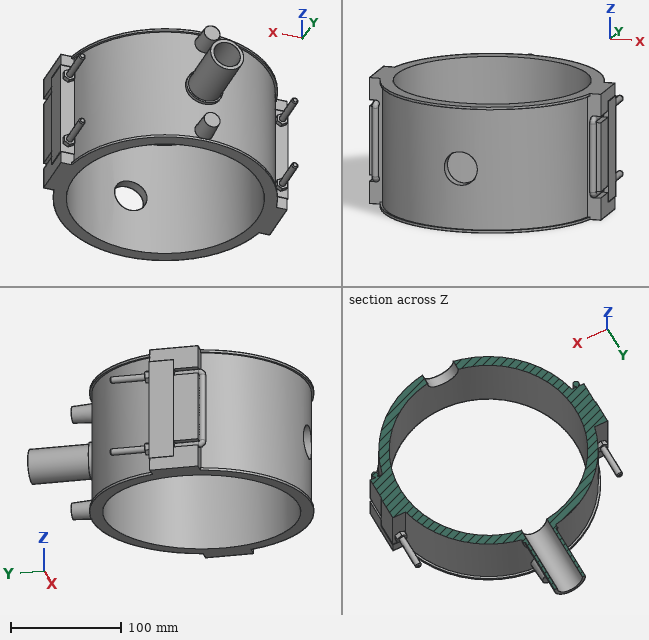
import cadquery as cq
import math

total_height = 118.0
half_height = total_height / 2

bore_radius = 90.0
body_radius = 100.0
lip_radius = 102.0
lip_height = 2.3
inlet_hole_diameter = 31.3

lug_reach = 110.0
lug_depth = 22.5
plate_thickness = 0.65
plate_height = 94.5

rod_diameter = 6.0
rod_radius = rod_diameter / 2
rod_tip_diameter = 4.0
rod_tip_y = 60.5
bolt_x = 103.4
leg_z = 35.2
bend_radius = 3.1
bridge_bedding = 0.05
nut_sides = 6
nut_flats = 10.0
nut_thickness = 4.5

spigot_diameter = 32.0
spigot_bore = 25.5
spigot_tip_y = 159.0
collar_diameter = 35.2
collar_face_radius = 103.4

peg_tip_diameter = 15.5
peg_base_diameter = 18.3
peg_tip_y = 120.3
peg_z = 47.2


def cylinder_along_y(diameter, x, z, y_start, y_end):
    axis_start = cq.Vector(x, y_start, z)
    return cq.Workplane(cq.Solid.makeCylinder(
        diameter / 2, y_end - y_start, axis_start, cq.Vector(0, 1, 0)))


def upright_cylinder(radius, height):
    return cq.Workplane("XY").circle(radius).extrude(height / 2, both=True)


def box_between(x_range, y_range, z_range):
    sizes = [high - low for low, high in (x_range, y_range, z_range)]
    corner = (x_range[0], y_range[0], z_range[0])
    return cq.Workplane("XY").box(*sizes, centered=False).translate(corner)


def make_ring():
    """Ring with a thin lip at each end, bore not yet cut."""
    ring = upright_cylinder(body_radius, total_height)
    for lip_bottom in (-half_height, half_height - lip_height):
        lip = cq.Workplane("XY").workplane(offset=lip_bottom).circle(lip_radius).extrude(lip_height)
        ring = ring.union(lip)
    return ring


def make_lug():
    """Lug on the +X side: plated +Y half, -Y half slotted for the U-bolt legs."""
    lug = box_between((bore_radius, lug_reach), (-lug_depth, lug_depth), (-half_height, half_height))
    plate = box_between(
        (bore_radius, lug_reach + plate_thickness),
        (0, lug_depth + plate_thickness),
        (-plate_height / 2, plate_height / 2),
    )
    lug = lug.union(plate)
    for z in (-leg_z, leg_z):
        slot = box_between((bolt_x, lug_reach), (-lug_depth, 0), (z - rod_radius, z + rod_radius))
        lug = lug.cut(slot)
    return lug


def make_u_bolt():
    """U-bolt on the +X side, its legs pointing to +Y and its bridge bedded on the -Y lug face."""
    bend_z = leg_z - bend_radius
    bridge_y = bridge_bedding - lug_depth - rod_radius
    bend_y = bridge_y + bend_radius
    tip_chamfer = (rod_diameter - rod_tip_diameter) / 2
    bolt = (
        cq.Workplane("XY", origin=(bolt_x, bridge_y, 0))
        .circle(rod_radius)
        .extrude(bend_z, both=True)
    )
    for side in (-1, 1):
        leg = cylinder_along_y(rod_diameter, bolt_x, side * leg_z, bend_y, rod_tip_y)
        leg = leg.faces(">Y").chamfer(tip_chamfer)
        bend = (
            cq.Workplane("XY", origin=(bolt_x, bridge_y, side * bend_z))
            .circle(rod_radius)
            .revolve(90, (0, bend_radius, 0), (-side, bend_radius, 0))
        )
        bolt = bolt.union(leg).union(bend)
    return bolt


def make_nut(z):
    """Hexagonal nut on the saddle plate, with corners pointing along Z."""
    across_corners = nut_flats / math.cos(math.pi / nut_sides)
    half_side_angle = 180 / nut_sides
    seat_y = lug_depth + plate_thickness
    nut = (
        cq.Workplane("XZ", origin=(bolt_x, seat_y, z))
        .polygon(nut_sides, across_corners)
        .extrude(-nut_thickness)
    )
    return nut.rotate((bolt_x, 0, z), (bolt_x, 1, z), half_side_angle)


def make_spigot():
    """Outlet tube with a saddle-shaped collar that follows the ring."""
    tube = cylinder_along_y(spigot_diameter, 0, 0, bore_radius, spigot_tip_y)
    collar = cylinder_along_y(collar_diameter, 0, 0, bore_radius, spigot_tip_y)
    collar = collar.intersect(upright_cylinder(collar_face_radius, total_height))
    return tube.union(collar)


def make_peg(z):
    """Tapered peg whose base reaches into the ring wall."""
    base_y = (bore_radius + body_radius) / 2
    return cq.Workplane(cq.Solid.makeCone(
        peg_base_diameter / 2, peg_tip_diameter / 2, peg_tip_y - base_y,
        cq.Vector(0, base_y, z), cq.Vector(0, 1, 0)))


clamp_lug = make_lug()
fastener = make_u_bolt()
for nut_z in (-leg_z, leg_z):
    fastener = fastener.union(make_nut(nut_z))

result = make_ring().union(clamp_lug).union(clamp_lug.mirror("YZ"))
result = result.union(make_spigot())
for z in (-peg_z, peg_z):
    result = result.union(make_peg(z))

result = result.cut(upright_cylinder(bore_radius, total_height))
result = result.cut(cylinder_along_y(inlet_hole_diameter, 0, 0, -lip_radius, 0))
result = result.cut(cylinder_along_y(spigot_bore, 0, 0, 0, spigot_tip_y))

result = result.union(fastener).union(fastener.mirror("YZ"))